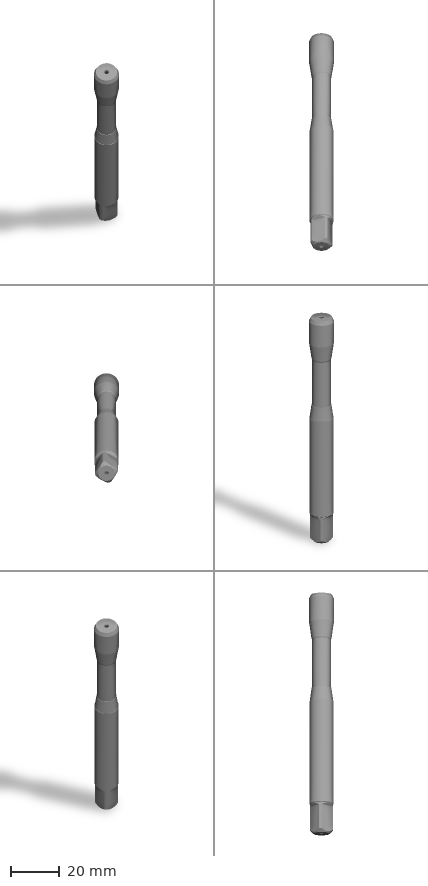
import cadquery as cq

length = 100.0

head_diameter = 10.2
head_tip_diameter = 8.7
collar_diameter = 8.2
neck_diameter = 7.7
shoulder_diameter = 8.1
shank_taper_diameter = 9.7
shank_diameter = 10.0
drive_corner_diameter = 9.5
bore_diameter = 1.7
bore_mouth_diameter = 2.3

tip_chamfer_height = 1.6
head_height = 9.7
head_taper_height = 6.9
collar_height = 0.6
neck_height = 20.2
shank_taper_height = 5.7

drive_across_flats = 7.5
drive_flat_height = 11.3
drive_end_diameter = 6.7

head_top = length - tip_chamfer_height
head_bottom = head_top - head_height
collar_top = head_bottom - head_taper_height
neck_top = collar_top - collar_height
neck_bottom = neck_top - neck_height
shank_top = neck_bottom - shank_taper_height
drive_end_chamfer = (drive_corner_diameter - drive_end_diameter) / 2
shank_bottom = drive_flat_height + (shank_diameter - drive_across_flats) / 2
shank_edge_chamfer = (shank_diameter - drive_corner_diameter) / 2


def make_body():
    """Turn the head, neck, shank and the round blank of the drive."""
    profile = [
        (head_tip_diameter / 2, length),
        (head_diameter / 2, head_top),
        (head_diameter / 2, head_bottom),
        (collar_diameter / 2, collar_top),
        (neck_diameter / 2, neck_top),
        (neck_diameter / 2, neck_bottom),
        (shoulder_diameter / 2, neck_bottom),
        (shank_taper_diameter / 2, shank_top),
        (shank_diameter / 2, shank_top),
        (shank_diameter / 2, shank_bottom),
        (drive_corner_diameter / 2, shank_bottom - shank_edge_chamfer),
        (drive_corner_diameter / 2, drive_end_chamfer),
        (drive_end_diameter / 2, 0),
    ]
    outline = cq.Workplane("XZ").moveTo(0, 0).lineTo(0, length)
    for radius, level in profile:
        outline = outline.lineTo(radius, level)
    return outline.close().revolve(360, (0, 0, 0), (0, 1, 0))


def make_flat_cutter():
    """Block that mills one drive flat, with a 45 degree run-out at its top."""
    flat = drive_across_flats / 2
    outer = shank_diameter
    return (
        cq.Workplane("XZ")
        .moveTo(flat, 0)
        .lineTo(flat, drive_flat_height)
        .lineTo(outer, drive_flat_height + outer - flat)
        .lineTo(outer, 0)
        .close()
        .extrude(shank_diameter, both=True)
    )


def make_bore():
    """Through bore with a 45 degree countersink at the head."""
    countersink_depth = (bore_mouth_diameter - bore_diameter) / 2
    return (
        cq.Workplane("XZ")
        .moveTo(0, 0)
        .lineTo(bore_diameter / 2, 0)
        .lineTo(bore_diameter / 2, length - countersink_depth)
        .lineTo(bore_mouth_diameter / 2, length)
        .lineTo(0, length)
        .close()
        .revolve(360, (0, 0, 0), (0, 1, 0))
    )


result = make_body()
flat_cutter = make_flat_cutter()
for angle in (0, 90, 180, 270):
    result = result.cut(flat_cutter.rotate((0, 0, 0), (0, 0, 1), angle))
result = result.cut(make_bore())